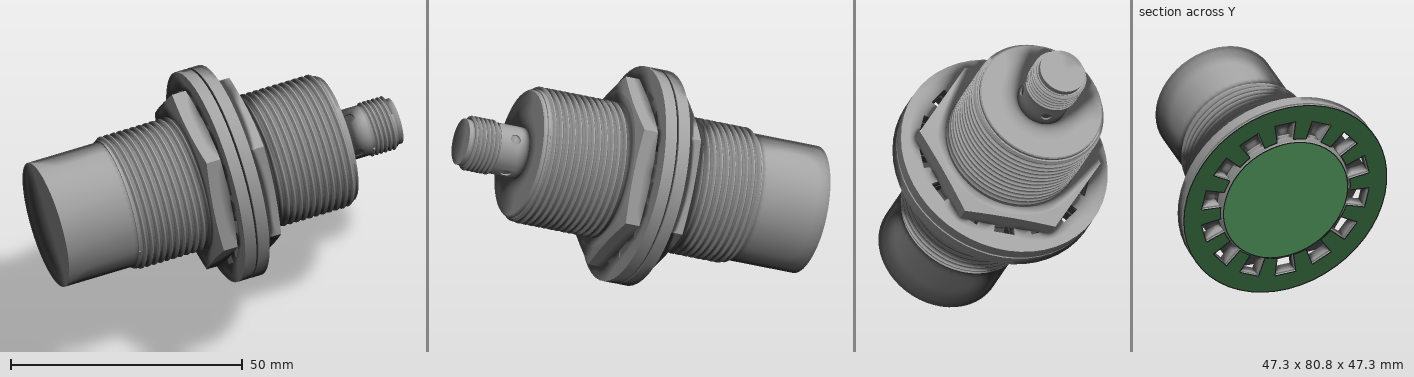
import cadquery as cq
import math


total_length = 80.8
nose_radius = 14.0
nose_end = 16.0
barrel_thread_end = 66.25
barrel_end = 67.1
barrel_edge_chamfer = 0.25

barrel_crest_radius = 14.95
barrel_root_radius = 14.3
barrel_pitch = 21.0 / 14
barrel_crest_width = 0.2
barrel_lead_in = 1.0

neck_radius = 5.6
plug_start = 73.5
plug_end = 79.6
plug_crest_radius = 6.0
plug_root_radius = 5.4
plug_tip_radius = 5.1
plug_pitch = 5.0 / 5
plug_crest_width = 0.2
plug_lead_in = 0.25
plug_helix_start = 73.8

dimple_count = 4
dimple_radius = 1.1
dimple_place = 70.2
dimple_floor = 5.2

flank_angle = 30.0
ridge_embed = 0.2

stack_middle = 39.8
washer_gap = 0.5
washer_thickness = 2.6
nut_thickness = 4.45
bore_radius = 15.0

washer_diameter = 47.3
notch_count = 14
notch_outer_distance = 19.4
notch_angle = 14.0
notch_overlap = 0.8

hex_sides = 6
across_flats = 35.8
nut_face_radius = 17.0
nut_chamfer_height = 0.65
nut_corner_radius = across_flats / 2 / math.cos(math.pi / hex_sides)


def along_y(shape, start=0.0):
    """Turn a shape built along +Z so that it runs along +Y from the given place."""
    return shape.rotate((0, 0, 0), (1, 0, 0), -90).translate((0, start, 0))


def cylinder_between(start, end, radius):
    """Plain round bar along Y."""
    return along_y(cq.Workplane("XY").circle(radius).extrude(end - start), start)


def thread_ridge(start, end, root_radius, crest_radius, pitch, crest_width):
    """Right-handed helical ridge, sunk a little into its core; its middle starts on +X."""
    inner_radius = root_radius - ridge_embed
    half_crest = crest_width / 2
    half_base = half_crest + (crest_radius - inner_radius) * math.tan(math.radians(flank_angle))
    helix = cq.Wire.makeHelix(pitch, end - start, root_radius)
    ridge = (
        cq.Workplane("XZ")
        .moveTo(inner_radius, -half_base)
        .lineTo(crest_radius, -half_crest)
        .lineTo(crest_radius, half_crest)
        .lineTo(inner_radius, half_base)
        .close()
        .sweep(cq.Workplane(helix), isFrenet=True)
    )
    return along_y(ridge, start)


def thread_envelope(start, end, root_radius, crest_radius, lead_in):
    """Solid of revolution that tapers the thread down to its root at both ends."""
    outer_radius = crest_radius + ridge_embed
    taper = lead_in * (outer_radius - root_radius) / (crest_radius - root_radius)
    return (
        cq.Workplane("XY")
        .moveTo(0, start)
        .lineTo(root_radius, start)
        .lineTo(outer_radius, start + taper)
        .lineTo(outer_radius, end - taper)
        .lineTo(root_radius, end)
        .lineTo(0, end)
        .close()
        .revolve(360, (0, 0, 0), (0, 1, 0))
    )


def threaded_rod(start, end, root_radius, crest_radius, pitch, crest_width, lead_in, helix_start):
    """Round core with a helical ridge that tapers off at both ends."""
    ridge = thread_ridge(helix_start, end, root_radius, crest_radius, pitch, crest_width)
    envelope = thread_envelope(start, end, root_radius, crest_radius, lead_in)
    return cylinder_between(start, end, root_radius).union(ridge.intersect(envelope))


def make_neck():
    """Smooth connector neck with dimples spaced evenly around it."""
    neck = cylinder_between(barrel_end, plug_start, neck_radius)
    dimple = (
        cq.Workplane("XY", origin=(0, dimple_place, dimple_floor))
        .circle(dimple_radius)
        .extrude(neck_radius)
    )
    for index in range(dimple_count):
        neck = neck.cut(dimple.rotate((0, 0, 0), (0, 1, 0), index * 360 / dimple_count))
    return neck


def make_sensor():
    """Nose, threaded barrel and connector, joined into one solid."""
    nose = cylinder_between(0, nose_end, nose_radius)
    barrel = threaded_rod(
        nose_end, barrel_thread_end, barrel_root_radius, barrel_crest_radius,
        barrel_pitch, barrel_crest_width, barrel_lead_in, nose_end,
    )
    collar = cylinder_between(barrel_thread_end, barrel_end, nose_radius)
    collar = collar.faces(">Y").chamfer(barrel_edge_chamfer)
    plug = threaded_rod(
        plug_start, plug_end, plug_root_radius, plug_crest_radius,
        plug_pitch, plug_crest_width, plug_lead_in, plug_helix_start,
    )
    tip = cylinder_between(plug_end, total_length, plug_tip_radius)
    return nose.union(barrel).union(collar).union(make_neck()).union(plug).union(tip)


def make_washer(start):
    """Flat washer whose bore is notched outward, leaving a ring of inner teeth."""
    washer = cq.Workplane("XY").circle(washer_diameter / 2).circle(bore_radius).extrude(washer_thickness)
    inner_distance = bore_radius - notch_overlap
    side_slope = math.tan(math.radians(notch_angle / 2))
    notch = (
        cq.Workplane("XY")
        .moveTo(inner_distance, -inner_distance * side_slope)
        .lineTo(notch_outer_distance, -notch_outer_distance * side_slope)
        .lineTo(notch_outer_distance, notch_outer_distance * side_slope)
        .lineTo(inner_distance, inner_distance * side_slope)
        .close()
        .extrude(washer_thickness)
    )
    for index in range(notch_count):
        washer = washer.cut(notch.rotate((0, 0, 0), (0, 0, 1), 90 + index * 360 / notch_count))
    return along_y(washer, start)


def make_nut(start):
    """Hexagon nut with corners on the X axis and conical chamfers on both faces."""
    hexagon = cq.Workplane("XY").polygon(hex_sides, 2 * nut_corner_radius).extrude(nut_thickness)
    chamfer_envelope = (
        cq.Workplane("XZ")
        .moveTo(0, 0)
        .lineTo(nut_face_radius, 0)
        .lineTo(nut_corner_radius, nut_chamfer_height)
        .lineTo(nut_corner_radius, nut_thickness - nut_chamfer_height)
        .lineTo(nut_face_radius, nut_thickness)
        .lineTo(0, nut_thickness)
        .close()
        .revolve(360, (0, 0, 0), (0, 1, 0))
    )
    bore = cq.Workplane("XY").circle(bore_radius).extrude(nut_thickness)
    return along_y(hexagon.intersect(chamfer_envelope).cut(bore), start)


front_washer_start = stack_middle - washer_gap / 2 - washer_thickness
rear_washer_start = stack_middle + washer_gap / 2
front_nut_start = front_washer_start - nut_thickness
rear_nut_start = rear_washer_start + washer_thickness

sensor = make_sensor()
washers = [make_washer(start) for start in (front_washer_start, rear_washer_start)]
nuts = [make_nut(start) for start in (front_nut_start, rear_nut_start)]

result = cq.Compound.makeCompound([body.solids().val() for body in [sensor, *washers, *nuts]])